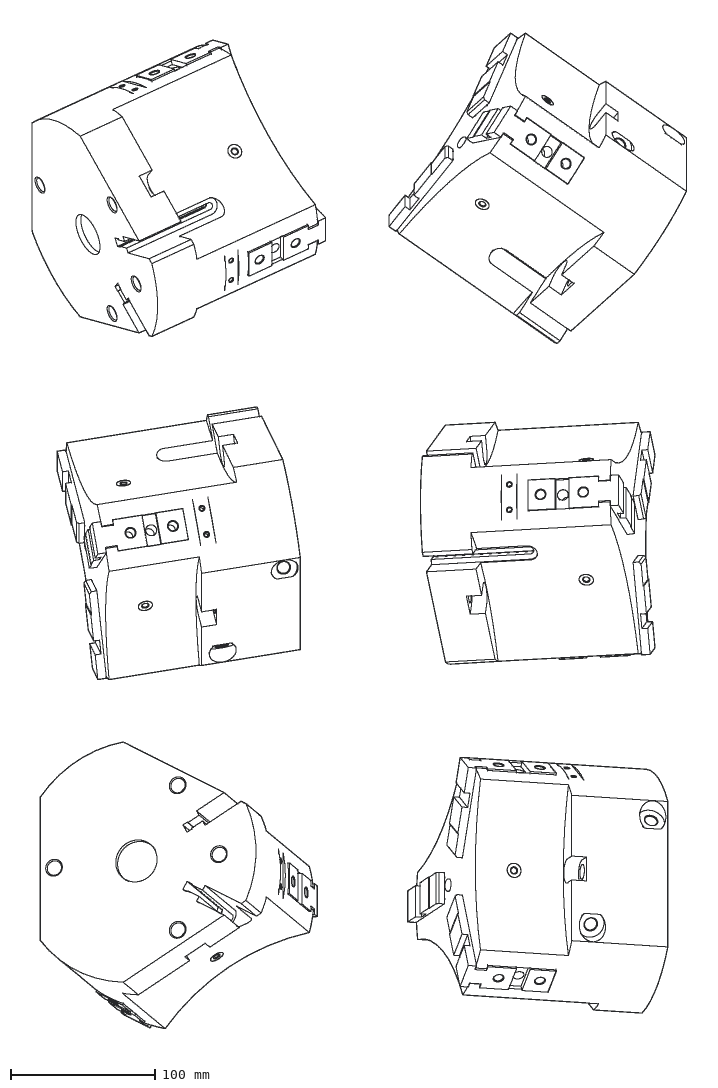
import cadquery as cq

BODY_RADIUS = 87.0
FLAT_DISTANCE = 70.0
HOUSING_TOP = 134.0
COVER_THICKNESS = 8.3
COVER_BOTTOM = HOUSING_TOP - COVER_THICKNESS
JAW_ANGLES = (0, 120, 240)
FLAT_ANGLES = (60, 180, 300)

HOLLOW_RADIUS = 160.0
HOLLOW_DISTANCE = 50.5
SHELF_HEIGHTS = {60: 35.1, 180: 70.0, 300: 35.1}

BORE_RADIUS = 15.0
BORE_DEPTH = 4.1
BOLT_CIRCLE = 60.0
BOLT_RADIUS = 5.2
BOLT_CHAMFER = 0.9
BLIND_HOLE_DEPTH = 26.0
HEAD_SLOT_WIDTH = 17.0
HEAD_SLOT_DEPTH = 10.7

SLOT_ANGLES = (30, -30)
SLOT_TOP = 76.3
SLOT_STEPS = ((54.1, BODY_RADIUS, 12.5), (44.6, 54.1, 5.0), (40.8, 44.6, 6.2))

PORT_TILT = 30
PORT_RADIUS = 9.5
PORT_HOLE_RADIUS = 4.3
PORT_HOLE_DEPTH = 20.7
PORT_Z = 38.2
PORT_SEAT_DEPTH = 3.8
PORT_HEIGHTS = {1: 11.0, -1: 55.0}

AIR_HEIGHT = 105.8
AIR_SEAT_RADIUS = 5.0
AIR_SEAT_DEPTH = 0.2
AIR_HOLE_RADIUS = 2.0
AIR_HOLE_DEPTH = 13.8

COUNTERSINK = 0.5

PAD_DISTANCE = 85.5
PAD_ANGLES = (0, 120)
PAD_BOTTOM = 57.0
PAD_TOP = 68.0
PAD_HOLE_SPACING = 18.5
PAD_HOLE_RADIUS = 1.5
PAD_HOLE_DEPTH = 7.0

STUD_X = 10.4
STUD_RADIUS = 4.3
STUD_HEIGHT = 2.0
STUD_ROUNDING = 1.5

JAW_FACE = 87.5
JAW_INNER_END = 21.6
JAW_BOTTOM = 75.9
JAW_TOP = 140.0
JAW_WIDTH = 22.1
NECK_WIDTH = 14.5
NECK_SLOT_WIDTH = 15.9
JAW_STEP_END = 38.7
JAW_STEP_DROP = 0.5
JAW_END_CHAMFER = 1.5
JAW_KEYWAY_START = 58.5
JAW_KEYWAY_END = 68.8
JAW_KEYWAY_DEPTH = 4.1
JAW_HOLE_SPACING = 15.0
JAW_HOLE_MIDDLE = 100.0
JAW_THREAD_RADIUS = 3.3
JAW_CENTRE_HOLE_RADIUS = 3.8
JAW_HOLE_DEPTH = 17.3
JAW_RECESS_HEIGHT = 9.9
JAW_RECESS_DEPTH = 4.0


def block(x_start, x_end, y_start, y_end, width):
    """Box centred on Z = 0."""
    size = cq.Workplane("XY").box(x_end - x_start, y_end - y_start, width, centered=(False, False, True))
    return size.translate((x_start, y_start, 0))


def cylinder_y(radius, y_start, y_end, x=0.0):
    """Cylinder parallel to the gripper axis."""
    return cq.Workplane("XZ", origin=(x, y_start, 0)).circle(radius).extrude(y_start - y_end)


def radial_hole(radius, face, depth, height, z=0.0):
    """Cylinder that runs from the given X towards the gripper axis."""
    return cq.Workplane("YZ", origin=(face, height, z)).circle(radius).extrude(-depth)


def threaded_hole(radius, face, depth, height, z=0.0):
    """Radial hole with a countersunk mouth at the given X."""
    mouth = cq.Solid.makeCone(
        radius + COUNTERSINK, radius, COUNTERSINK, cq.Vector(face, height, z), cq.Vector(-1, 0, 0)
    )
    return radial_hole(radius, face, depth, height, z).union(cq.Workplane(mouth))


def turned(shape, angle):
    """Turn a shape around the gripper axis, from +X towards +Z."""
    return shape.rotate((0, 0, 0), (0, 1, 0), -angle)


def trimmed_disc(y_start, y_end):
    """Round body trimmed by the three flats."""
    disc = cylinder_y(BODY_RADIUS, y_start, y_end)
    for angle in FLAT_ANGLES:
        outside = block(FLAT_DISTANCE, 2 * BODY_RADIUS, y_start, y_end, 4 * BODY_RADIUS)
        disc = disc.cut(turned(outside, angle))
    return disc


def cut_hollows(body):
    for angle, shelf in SHELF_HEIGHTS.items():
        hollow = cylinder_y(HOLLOW_RADIUS, shelf, HOUSING_TOP, HOLLOW_DISTANCE + HOLLOW_RADIUS)
        body = body.cut(turned(hollow, angle))
    return body


def cut_base_holes(body):
    body = body.cut(cylinder_y(BORE_RADIUS, 0, BORE_DEPTH))
    depths = {**SHELF_HEIGHTS, 0: BLIND_HOLE_DEPTH}
    for angle, depth in depths.items():
        hole = cylinder_y(BOLT_RADIUS, 0, depth, BOLT_CIRCLE)
        flare = cq.Workplane(
            cq.Solid.makeCone(
                BOLT_RADIUS + BOLT_CHAMFER, BOLT_RADIUS, BOLT_CHAMFER,
                cq.Vector(BOLT_CIRCLE, 0, 0), cq.Vector(0, 1, 0),
            )
        )
        body = body.cut(turned(hole.union(flare), angle))
    return body


def cut_head_slots(body):
    """Slots for the bolt heads, sunk into the shelves and open to the flats."""
    for angle, shelf in SHELF_HEIGHTS.items():
        floor = shelf - HEAD_SLOT_DEPTH
        slot = cylinder_y(HEAD_SLOT_WIDTH / 2, floor, shelf, BOLT_CIRCLE)
        slot = slot.union(block(BOLT_CIRCLE, BODY_RADIUS, floor, shelf, HEAD_SLOT_WIDTH))
        body = body.cut(turned(slot, angle))
    return body


def cut_keyhole_slots(body):
    """Stepped radial slots, each with a round top. All steps share the axis of the widest one."""
    widest = max(width for _, _, width in SLOT_STEPS)
    axis_height = SLOT_TOP - widest / 2
    for angle in SLOT_ANGLES:
        for start, end, width in SLOT_STEPS:
            step = block(start, end, 0, axis_height, width)
            step = step.union(radial_hole(width / 2, end, end - start, axis_height))
            body = body.cut(turned(step, angle))
    return body


def cut_ports(body):
    """Counterbored ports in the -X flat, slanted towards the gripper axis."""
    for side, height in PORT_HEIGHTS.items():
        port = radial_hole(PORT_RADIUS, 4 * PORT_RADIUS, 4 * PORT_RADIUS, 0)
        port = port.union(threaded_hole(PORT_HOLE_RADIUS, 0, PORT_HOLE_DEPTH, 0))
        port = turned(port, 180 - side * PORT_TILT)
        body = body.cut(port.translate((PORT_SEAT_DEPTH - FLAT_DISTANCE, height, side * PORT_Z)))
    return body


def cut_air_connections(body):
    for angle in FLAT_ANGLES:
        face = HOLLOW_DISTANCE - AIR_SEAT_DEPTH
        seat = radial_hole(AIR_SEAT_RADIUS, FLAT_DISTANCE, FLAT_DISTANCE - face, AIR_HEIGHT)
        hole = threaded_hole(AIR_HOLE_RADIUS, face, AIR_HOLE_DEPTH, AIR_HEIGHT)
        body = body.cut(turned(seat.union(hole), angle))
    return body


def cut_sensor_pads(body):
    middle = (PAD_BOTTOM + PAD_TOP) / 2
    for angle in PAD_ANGLES:
        pad = block(PAD_DISTANCE, 2 * BODY_RADIUS, PAD_BOTTOM, PAD_TOP, BODY_RADIUS)
        for side in (-1, 1):
            z = side * PAD_HOLE_SPACING / 2
            pad = pad.union(threaded_hole(PAD_HOLE_RADIUS, PAD_DISTANCE, PAD_HOLE_DEPTH, middle, z))
        body = body.cut(turned(pad, angle))
    return body


def cut_jaw_guides(body, bottom, top, width):
    for angle in JAW_ANGLES:
        guide = block(JAW_INNER_END, 2 * BODY_RADIUS, bottom, top, width)
        body = body.cut(turned(guide, angle))
    return body


def make_cover():
    cover = cut_hollows(trimmed_disc(COVER_BOTTOM, HOUSING_TOP))
    cover = cut_jaw_guides(cover, COVER_BOTTOM, HOUSING_TOP, NECK_SLOT_WIDTH)
    stud = cylinder_y(STUD_RADIUS, HOUSING_TOP, HOUSING_TOP + STUD_HEIGHT, STUD_X)
    return cover.union(stud.faces(">Y").fillet(STUD_ROUNDING))


def make_housing():
    body = cut_hollows(trimmed_disc(0, COVER_BOTTOM))
    body = cut_base_holes(body)
    body = cut_head_slots(body)
    body = cut_keyhole_slots(body)
    body = cut_ports(body)
    body = cut_air_connections(body)
    body = cut_sensor_pads(body)
    body = cut_jaw_guides(body, JAW_BOTTOM, COVER_BOTTOM, JAW_WIDTH)
    return body.union(make_cover(), clean=False)


def make_jaw():
    """Jaw along +X: a wide foot, a narrow neck through the cover and a wide head."""
    jaw = block(JAW_INNER_END, JAW_FACE, JAW_BOTTOM, COVER_BOTTOM, JAW_WIDTH)
    jaw = jaw.union(block(JAW_INNER_END, JAW_FACE, COVER_BOTTOM, HOUSING_TOP, NECK_WIDTH))
    head = block(JAW_INNER_END, JAW_FACE, HOUSING_TOP, JAW_TOP, JAW_WIDTH)
    head = head.cut(block(JAW_INNER_END, JAW_STEP_END, JAW_TOP - JAW_STEP_DROP, JAW_TOP, JAW_WIDTH))
    head = head.faces("<X").edges(">Y").chamfer(JAW_END_CHAMFER)
    keyway_floor = JAW_TOP - JAW_KEYWAY_DEPTH
    head = head.cut(block(JAW_KEYWAY_START, JAW_KEYWAY_END, keyway_floor, JAW_TOP, JAW_WIDTH))
    jaw = jaw.union(head)

    recess_bottom = JAW_HOLE_MIDDLE - JAW_RECESS_HEIGHT / 2
    recess_floor = JAW_FACE - JAW_RECESS_DEPTH
    jaw = jaw.cut(block(recess_floor, JAW_FACE, recess_bottom, recess_bottom + JAW_RECESS_HEIGHT, JAW_WIDTH))
    jaw = jaw.cut(radial_hole(JAW_CENTRE_HOLE_RADIUS, recess_floor, JAW_HOLE_DEPTH, JAW_HOLE_MIDDLE))
    for row in (-1, 1):
        height = JAW_HOLE_MIDDLE + row * JAW_HOLE_SPACING
        jaw = jaw.cut(threaded_hole(JAW_THREAD_RADIUS, JAW_FACE, JAW_HOLE_DEPTH, height))
    return jaw


housing = make_housing()
jaws = [turned(make_jaw(), angle) for angle in JAW_ANGLES]
result = cq.Compound.makeCompound([housing.val(), *[jaw.val() for jaw in jaws]])